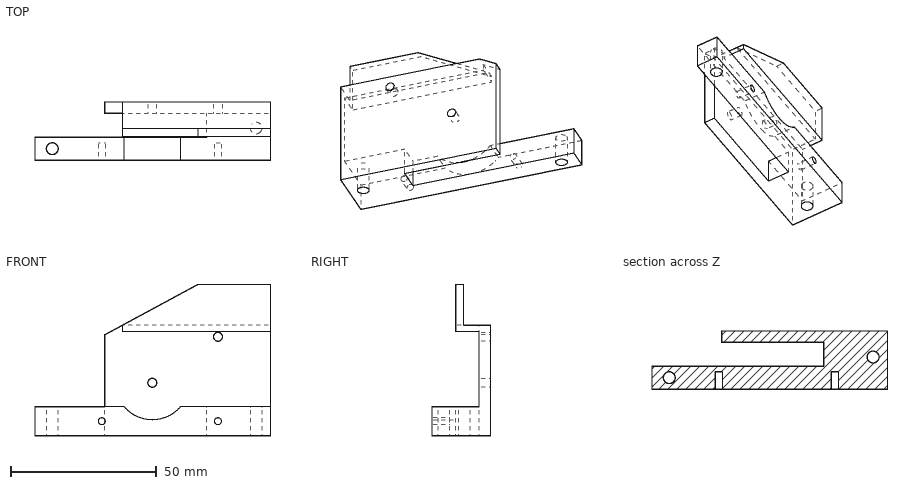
import cadquery as cq

length = 81.0
depth = 20.1
height = 52.0

base_height = 10.0
bar_depth = 8.0
foot_left = 59.0

plate_thickness = 4.0
plate_front = depth - plate_thickness
plate_left = 24.0

shelf_left = 30.1
shelf_top = 38.0
shelf_thickness = 2.2
shelf_front = 8.1
fin_thickness = 2.8

slope_top_x = 56.0
slope_rise_per_run = (height - shelf_top) / (slope_top_x - shelf_left)
plate_corner_z = shelf_top - slope_rise_per_run * (shelf_left - plate_left)

plate_hole_diameter = 3.0
relief_center = (40.35, 18.2)
right_hole_x = 62.9
plate_holes = [relief_center, (right_hole_x, 34.0)]
relief_radius = 12.7

front_hole_diameter = 2.4
front_hole_depth = 6.0
front_hole_z = base_height / 2
front_holes = [(23.0, front_hole_z), (right_hole_x, front_hole_z)]

mount_hole_diameter = 4.0
mount_holes = [(6.0, bar_depth / 2), (76.0, 11.1)]


def box(x_range, y_range, z_range):
    """Block between the given limits on each axis."""
    size = [high - low for low, high in (x_range, y_range, z_range)]
    corner = (x_range[0], y_range[0], z_range[0])
    return cq.Workplane("XY").box(*size, centered=False).translate(corner)


def upright_prism(outline, y_front, thickness):
    """Solid with an (x, z) outline, reaching back from y_front."""
    plane = cq.Workplane("XZ", origin=(0, y_front, 0))
    return plane.polyline(outline).close().extrude(-thickness)


def rods_along_y(centers, diameter, y_front, rod_length):
    """Cylinders at (x, z) centers, reaching back from y_front."""
    plane = cq.Workplane("XZ", origin=(0, y_front, 0))
    return plane.pushPoints(centers).circle(diameter / 2).extrude(-rod_length)


def make_base():
    bar = box((0, length), (0, bar_depth), (0, base_height))
    relief = rods_along_y([relief_center], 2 * relief_radius, 0, bar_depth)
    foot = box((foot_left, length), (0, plate_front), (0, base_height))
    front_drills = rods_along_y(front_holes, front_hole_diameter, 0, front_hole_depth)
    mount_circles = cq.Workplane("XY").pushPoints(mount_holes).circle(mount_hole_diameter / 2)
    mount_drills = mount_circles.extrude(base_height)
    return bar.cut(relief).union(foot).cut(front_drills).cut(mount_drills)


def make_plate():
    outline = [
        (plate_left, 0),
        (length, 0),
        (length, shelf_top),
        (shelf_left, shelf_top),
        (plate_left, plate_corner_z),
    ]
    plate = upright_prism(outline, plate_front, plate_thickness)
    return plate.cut(rods_along_y(plate_holes, plate_hole_diameter, plate_front, plate_thickness))


def make_shelf():
    return box((shelf_left, length), (shelf_front, plate_front), (shelf_top - shelf_thickness, shelf_top))


def make_fin():
    outline = [
        (shelf_left, shelf_top),
        (length, shelf_top),
        (length, height),
        (slope_top_x, height),
    ]
    return upright_prism(outline, shelf_front, fin_thickness)


result = make_base().union(make_plate()).union(make_shelf()).union(make_fin())